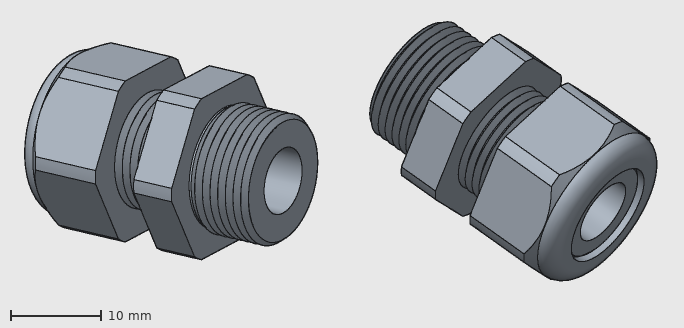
import cadquery as cq
import math


across_flats = 19.05
corner_diameter = 21.14

nut_length = 11.04
dome_radius = 2.0
dome_diameter = 19.0
nose_diameter = 12.2

bore_diameter = 7.62
nose_recess = 0.7
nose_chamfer = 0.27
pitch = 1.016
cap_thread_turns = 5
cap_thread_diameter = 13.45
cap_thread_root = 11.85
flange_thickness = 5.03
entry_thread_turns = 7
entry_thread_diameter = 14.98
entry_thread_root = 13.3
entry_relief_diameter = 14.1
total_length = 28.96

flange_start = nut_length + cap_thread_turns * pitch
flange_end = flange_start + flange_thickness


def hex_prism(start, length):
    """Hexagonal bar along X with flats facing +Z and -Z and rounded corners."""
    point_to_point = across_flats / math.cos(math.pi / 6)
    plane = cq.Workplane("YZ", origin=(start, 0, 0))
    hexagon = plane.polygon(6, point_to_point).extrude(length)
    corner_round = plane.circle(corner_diameter / 2).extrude(length)
    return hexagon.intersect(corner_round)


def revolve_about_x(profile):
    """Close an (x, radius) outline and turn it about the X axis."""
    return profile.close().revolve(360, (0, 0, 0), (1, 0, 0))


def make_cap_nut():
    rim_radius = dome_diameter / 2
    corner_radius = corner_diameter / 2
    cone_length = corner_radius - rim_radius
    arc_inset = dome_radius * (1 - math.sin(math.pi / 4))
    envelope = revolve_about_x(
        cq.Workplane("XY")
        .moveTo(0, nose_diameter / 2)
        .lineTo(0, rim_radius - dome_radius)
        .threePointArc((arc_inset, rim_radius - arc_inset), (dome_radius, rim_radius))
        .lineTo(dome_radius + cone_length, corner_radius)
        .lineTo(nut_length, corner_radius)
        .lineTo(nut_length, nose_diameter / 2)
    )
    return hex_prism(0, nut_length).intersect(envelope)


def make_cap_thread():
    """Ring-shaped ridges between the nut and the flange, starting and ending on a crest."""
    profile = cq.Workplane("XY").moveTo(nut_length, 0)
    profile = profile.lineTo(nut_length, cap_thread_diameter / 2)
    for turn in range(cap_thread_turns):
        ridge_start = nut_length + turn * pitch
        profile = profile.lineTo(ridge_start + pitch / 2, cap_thread_root / 2)
        profile = profile.lineTo(ridge_start + pitch, cap_thread_diameter / 2)
    profile = profile.lineTo(flange_start, 0)
    return revolve_about_x(profile)


def make_entry_thread():
    """Ring-shaped ridges on the +X end, behind a short plain collar."""
    flank_slope = (entry_thread_diameter - entry_thread_root) / pitch
    first_root = flange_end + pitch / 2
    collar_end = first_root - (entry_relief_diameter - entry_thread_root) / 2 / flank_slope
    last_root = first_root + entry_thread_turns * pitch
    end_radius = entry_thread_root / 2 + (total_length - last_root) * flank_slope

    profile = cq.Workplane("XY").moveTo(flange_end, 0)
    profile = profile.lineTo(flange_end, entry_relief_diameter / 2)
    profile = profile.lineTo(collar_end, entry_relief_diameter / 2)
    profile = profile.lineTo(first_root, entry_thread_root / 2)
    for turn in range(entry_thread_turns):
        ridge_start = first_root + turn * pitch
        profile = profile.lineTo(ridge_start + pitch / 2, entry_thread_diameter / 2)
        profile = profile.lineTo(ridge_start + pitch, entry_thread_root / 2)
    profile = profile.lineTo(total_length, end_radius)
    profile = profile.lineTo(total_length, 0)
    return revolve_about_x(profile)


def make_nose():
    """Plain cylinder filling the nut, with a chamfered front edge."""
    nose = cq.Workplane("YZ", origin=(nose_recess, 0, 0)).circle(nose_diameter / 2)
    return nose.extrude(nut_length - nose_recess).faces("<X").chamfer(nose_chamfer)


def make_gland_body():
    flange = hex_prism(flange_start, flange_thickness)
    outside = make_nose().union(make_cap_thread()).union(flange).union(make_entry_thread())
    bore = cq.Workplane("YZ").circle(bore_diameter / 2).extrude(total_length)
    return outside.cut(bore)


cap_nut = make_cap_nut().solids()
gland_body = make_gland_body().solids()

result = cq.Compound.makeCompound([cap_nut.val(), gland_body.val()])